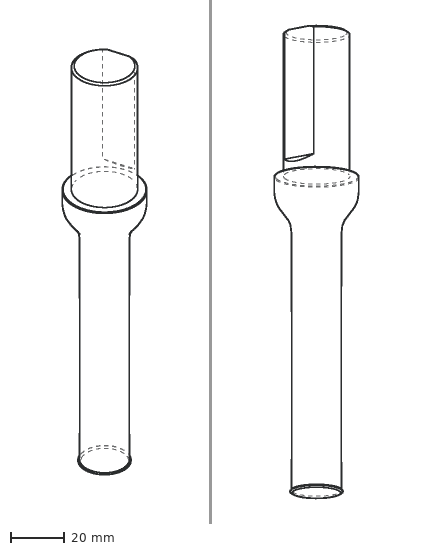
import cadquery as cq

total_height = 179.0
shank_radius = 25.0 / 2
shank_chamfer_width = 1.0
shank_chamfer_height = 0.7
flat_offset = 10.4
flat_end_z = 129.0
collar_top_z = 123.3

collar_radius = 32.0 / 2
collar_bottom_z = 117.5
collar_chamfer = 0.4

neck_radius = 19.0 / 2
stem_radius = 18.8 / 2
neck_top_z = 101.3
neck_bottom_z = 96.3
stem_top_z = 60.9
stem_bottom_z = 14.3
nose_top_z = 11.0

tip_radius = 20.0 / 2
tip_top_z = 1.6
tip_rim_z = 1.0
tip_cone_radius = 9.1
tip_cone_z = 0.5


def make_holder_profile():
    """Half section of the holder, on the XZ plane with the axis at X = 0."""
    middle_z = (collar_bottom_z + neck_top_z) / 2
    shoulder_curve = [
        (collar_radius, collar_bottom_z),
        (collar_radius, middle_z),
        (neck_radius, middle_z),
        (neck_radius, neck_top_z),
    ]

    return (
        cq.Workplane("XZ")
        .moveTo(0, total_height)
        .lineTo(shank_radius - shank_chamfer_width, total_height)
        .lineTo(shank_radius, total_height - shank_chamfer_height)
        .lineTo(shank_radius, collar_top_z)
        .lineTo(collar_radius - collar_chamfer, collar_top_z)
        .lineTo(collar_radius, collar_top_z - collar_chamfer)
        .lineTo(collar_radius, collar_bottom_z)
        .bezier(shoulder_curve)
        .lineTo(neck_radius, neck_bottom_z)
        .lineTo(stem_radius, stem_top_z)
        .lineTo(stem_radius, stem_bottom_z)
        .lineTo(neck_radius, nose_top_z)
        .lineTo(neck_radius, tip_top_z)
        .lineTo(0, tip_top_z)
        .close()
    )


def make_flat_cutter():
    """Material removed for the +Y shank flat, with a 45 degree run-out."""
    runout = shank_radius - flat_offset
    return (
        cq.Workplane("YZ")
        .moveTo(flat_offset, total_height)
        .lineTo(flat_offset, flat_end_z)
        .lineTo(shank_radius, flat_end_z - runout)
        .lineTo(collar_radius, flat_end_z - runout)
        .lineTo(collar_radius, total_height)
        .close()
        .extrude(shank_radius, both=True)
    )


def make_holder():
    return make_holder_profile().revolve(360, (0, 0, 0), (0, 1, 0)).cut(make_flat_cutter())


def make_cutting_tip():
    """Thin disc under the holder, with a beveled rim and a shallow point."""
    return (
        cq.Workplane("XZ")
        .moveTo(0, tip_top_z)
        .lineTo(neck_radius, tip_top_z)
        .lineTo(tip_radius, tip_rim_z)
        .lineTo(tip_cone_radius, tip_cone_z)
        .lineTo(0, 0)
        .close()
        .revolve(360, (0, 0, 0), (0, 1, 0))
    )


holder = make_holder()
cutting_tip = make_cutting_tip()
result = cq.Compound.makeCompound([holder.val(), cutting_tip.val()])